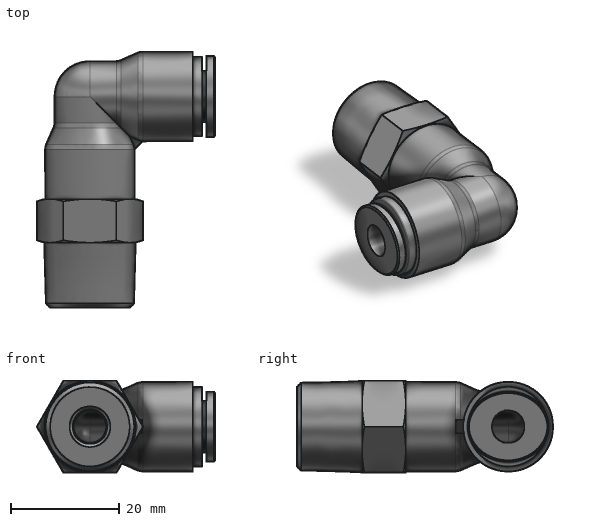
import cadquery as cq
import math


overall_width = 32.9
overall_length = 47.3

neck_diameter = 13.1
sleeve_diameter = 16.6
cone_start = 5.3
cone_end = 9.25
cone_blend_radius = 2.18
tube_arm_length = 19.0
stud_arm_length = 18.9
web_thickness = 2.5
web_reach = 9.7
passage_diameter = 6.0

hex_across_flats = 17.0
hex_corner_radius = hex_across_flats / math.sqrt(3)
hex_height = 8.05
hex_chamfer_height = 0.43
hex_top = -stud_arm_length
hex_bottom = hex_top - hex_height
stud_tip = sleeve_diameter / 2 - overall_length
thread_root_diameter = 16.95
thread_tip_diameter = 16.25
thread_chamfer = 0.8
stud_bore_diameter = 6.4
stud_bore_chamfer = 0.55

ring_diameter = 14.7
ring_length = 1.7
ring_edge_radius = 0.15

button_neck_diameter = 9.6
button_end = overall_width - hex_corner_radius
flange_thickness = 1.6
flange_width = 15.0
flange_height = 12.95
flange_chamfer = 0.3


def rod_x(diameter, start, length):
    """Cylinder on the tube axis, from x = start towards +X."""
    return cq.Workplane("YZ", origin=(start, 0, 0)).circle(diameter / 2).extrude(length)


def rod_y(diameter, start, length):
    """Cylinder on the stud axis, from y = start towards -Y."""
    return cq.Workplane("XZ", origin=(0, start, 0)).circle(diameter / 2).extrude(length)


def make_arm(length):
    """Arm of the elbow along +X: neck, blended cone and sleeve."""
    neck_radius = neck_diameter / 2
    sleeve_radius = sleeve_diameter / 2
    arm = (
        cq.Workplane("XY")
        .polyline([
            (0, 0),
            (0, neck_radius),
            (cone_start, neck_radius),
            (cone_end, sleeve_radius),
            (length, sleeve_radius),
            (length, 0),
        ])
        .close()
        .revolve(360, (0, 0, 0), (1, 0, 0))
    )
    cone_edges = cq.selectors.BoxSelector(
        (cone_start - cone_blend_radius, -sleeve_diameter, -sleeve_diameter),
        (cone_end + cone_blend_radius, sleeve_diameter, sleeve_diameter),
    )
    return arm.edges("%CIRCLE").edges(cone_edges).fillet(cone_blend_radius)


def make_elbow():
    tube_arm = make_arm(tube_arm_length)
    stud_arm = make_arm(stud_arm_length).rotate((0, 0, 0), (0, 0, 1), -90)
    heel = cq.Workplane("XY").sphere(neck_diameter / 2)

    web = (
        cq.Workplane("XY")
        .polyline([
            (cone_start, -cone_start),
            (web_reach, -sleeve_diameter / 2),
            (sleeve_diameter / 2, -web_reach),
        ])
        .close()
        .extrude(web_thickness / 2, both=True)
    )

    passage = (
        cq.Workplane("XY")
        .sphere(passage_diameter / 2)
        .union(rod_x(passage_diameter, 0, tube_arm_length))
        .union(rod_y(passage_diameter, 0, stud_arm_length))
    )
    return tube_arm.union(stud_arm).union(heel).union(web).cut(passage)


def make_hex():
    """Hexagon with corners on +X and -X, bevelled at both ends by shallow cones."""
    blank = (
        cq.Workplane("XZ", origin=(0, hex_top, 0))
        .polygon(6, 2 * hex_corner_radius)
        .extrude(hex_height)
    )
    bevel_envelope = (
        cq.Workplane("XY")
        .polyline([
            (0, hex_top),
            (hex_across_flats / 2, hex_top),
            (hex_corner_radius, hex_top - hex_chamfer_height),
            (hex_corner_radius, hex_bottom + hex_chamfer_height),
            (hex_across_flats / 2, hex_bottom),
            (0, hex_bottom),
        ])
        .close()
        .revolve(360, (0, 0, 0), (0, 1, 0))
    )
    return blank.intersect(bevel_envelope)


def make_stud():
    thread = (
        cq.Workplane("XY")
        .polyline([
            (0, hex_bottom),
            (thread_root_diameter / 2, hex_bottom),
            (thread_tip_diameter / 2, stud_tip),
            (0, stud_tip),
        ])
        .close()
        .revolve(360, (0, 0, 0), (0, 1, 0))
        .faces("<Y")
        .edges()
        .chamfer(thread_chamfer)
    )
    bore = rod_y(stud_bore_diameter, hex_top, hex_top - stud_tip)
    stud = make_hex().union(thread).cut(bore)
    bore_mouth = cq.selectors.RadiusNthSelector(0)
    return stud.faces("<Y").edges(bore_mouth).chamfer(stud_bore_chamfer)


def make_ring():
    ring = rod_x(ring_diameter, tube_arm_length, ring_length).faces(">X").edges().fillet(ring_edge_radius)
    return ring.cut(rod_x(button_neck_diameter, tube_arm_length, ring_length))


def make_button():
    """Oval flange on a round neck that passes through the guide ring."""
    flange_start = button_end - flange_thickness
    flange = (
        cq.Workplane("YZ", origin=(flange_start, 0, 0))
        .ellipse(flange_width / 2, flange_height / 2)
        .extrude(flange_thickness)
        .faces(">X")
        .edges()
        .chamfer(flange_chamfer)
    )
    neck = rod_x(button_neck_diameter, tube_arm_length, flange_start - tube_arm_length)
    bore = rod_x(passage_diameter, tube_arm_length, button_end - tube_arm_length)
    return neck.union(flange).cut(bore)


elbow = make_elbow()
stud = make_stud()
guide_ring = make_ring()
release_button = make_button()

result = cq.Compound.makeCompound([
    elbow.solids().val(),
    stud.solids().val(),
    guide_ring.solids().val(),
    release_button.solids().val(),
])